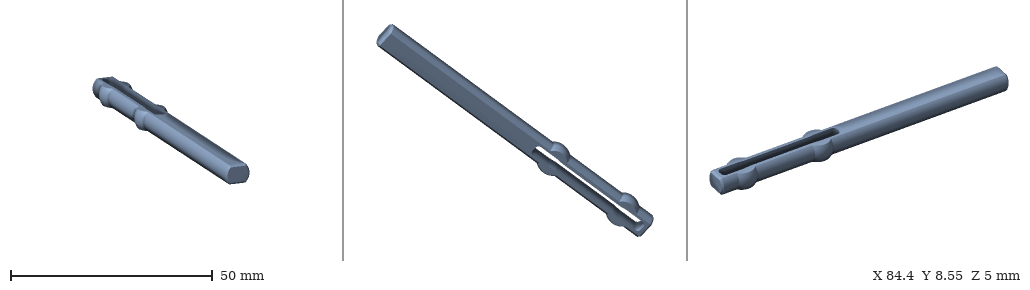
import cadquery as cq

length = 84.38
rod_diameter = 6.6
thickness = 5.0
end_chamfer = 0.5

ball_diameter = 8.55
first_ball_from_end = 7.65
ball_spacing = 22.22

slot_end_width = 3.0
slot_middle_width = 2.6
slot_from_end = 1.4
slot_length = 34.65
slot_corner_radius = 1.1
slot_wide_end_length = 6.1
slot_taper_length = 2.0

left_end = -length / 2
ball_positions = [left_end + first_ball_from_end + i * ball_spacing for i in range(2)]


def between_flats(body):
    """Trim a body to the space between the top and bottom flats."""
    slab = cq.Workplane("XY").box(length, ball_diameter, thickness)
    return body.intersect(slab)


def flattened_rod():
    bar = cq.Workplane("YZ", origin=(left_end, 0, 0)).circle(rod_diameter / 2).extrude(length)
    return between_flats(bar).faces("<X or >X").chamfer(end_chamfer)


def flattened_ball(x):
    return between_flats(cq.Workplane("XY").sphere(ball_diameter / 2).translate((x, 0, 0)))


def slot():
    slot_start = left_end + slot_from_end
    slot_stop = slot_start + slot_length
    first_taper = slot_start + slot_wide_end_length
    second_taper = slot_stop - slot_wide_end_length
    upper_wall = [
        (slot_start, slot_end_width / 2),
        (first_taper, slot_end_width / 2),
        (first_taper + slot_taper_length, slot_middle_width / 2),
        (second_taper - slot_taper_length, slot_middle_width / 2),
        (second_taper, slot_end_width / 2),
        (slot_stop, slot_end_width / 2),
    ]
    lower_wall = [(x, -y) for x, y in reversed(upper_wall)]
    outline = cq.Workplane("XY", origin=(0, 0, -thickness / 2)).polyline(upper_wall + lower_wall).close()
    block = outline.extrude(thickness)
    return block.edges("|Z and (<X or >X)").fillet(slot_corner_radius)


result = flattened_rod()
for ball_x in ball_positions:
    result = result.union(flattened_ball(ball_x))
result = result.cut(slot())